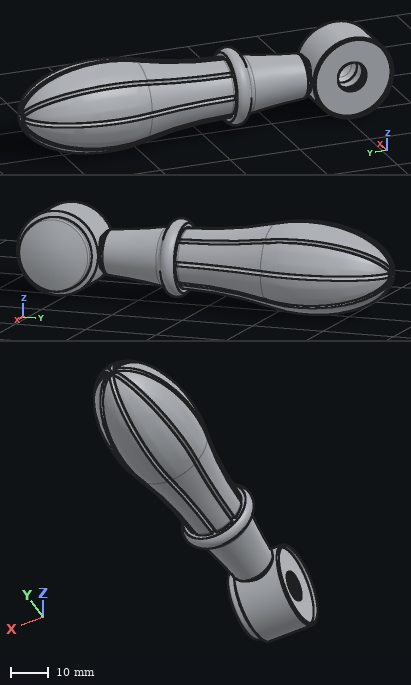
import cadquery as cq
import math


grip_tip_y = 93.0
grip_base_y = 34.3
belly_y = 69.6
belly_radius = 12.5
tip_length = grip_tip_y - belly_y
seam_y = 59.6
waist_y = 47.0
waist_radius = 9.1
band_y = grip_base_y + 0.6
band_radius = 8.3

groove_count = 8
groove_width = 1.1
groove_depth = 0.8

collar_face_radius = 9.4
collar_radius = 10.6
collar_middle_y = 32.4
collar_end_radius = 9.2
collar_end_y = 30.2
fillet_middle_radius = 8.4
fillet_middle_y = 29.6
taper_start_radius = 8.0
taper_start_y = 28.6
taper_middle_radius = 6.8
taper_middle_y = 19.9
taper_end_radius = 6.2
taper_end_y = 12.7
cone_radius = 5.9
cone_y = 12.0
cone_length = 3.1

hub_radius = 11.5
hub_left_x = -7.1
hub_right_x = 6.9
hub_left_chamfer = 0.4
hub_right_bevel = 0.7
recess_radius = 11.0
recess_depth = 1.1

bore_radius = 4.1
bore_depth = 6.8
thread_pitch = 0.8
thread_turns = 4
thread_depth = 0.4
drill_radius = 2.9
drill_point_angle = 118.0

cap_radius = 10.0
cap_apex_x = 11.0
dome_radius = 25.1
cap_fillet = 0.6


def revolve_about_x(profile):
    return profile.close().revolve(360, (0, 0, 0), (1, 0, 0))


def revolve_about_y(profile):
    return profile.close().revolve(360, (0, 0, 0), (0, 1, 0))


def add_grip_outline(start):
    """Continue a sketch from the grip's base edge along its side to the tip on the Y axis."""
    seam_angle = math.asin((seam_y - belly_y) / tip_length)
    seam_radius = belly_radius * math.cos(seam_angle)
    seam_tangent = (-belly_radius * math.sin(seam_angle), tip_length * math.cos(seam_angle))
    return (
        start.lineTo(band_radius, band_y)
        .spline(
            [(waist_radius, waist_y), (seam_radius, seam_y)],
            tangents=[(0, 1), seam_tangent],
            includeCurrent=True,
        )
        .ellipseArc(belly_radius, tip_length, math.degrees(seam_angle), 90, sense=1)
    )


def make_groove_cutter():
    """Elliptical rod that follows the grip's side, centred on its surface."""
    path = add_grip_outline(cq.Workplane("XY").moveTo(band_radius, grip_base_y))
    section = cq.Workplane("XZ", origin=(band_radius, grip_base_y, 0)).ellipse(groove_depth, groove_width / 2)
    return section.sweep(path)


def make_grip():
    base_edge = cq.Workplane("XY").moveTo(0, grip_base_y).lineTo(band_radius, grip_base_y)
    grip = revolve_about_y(add_grip_outline(base_edge))
    cutter = make_groove_cutter()
    for i in range(groove_count):
        grip = grip.cut(cutter.rotate((0, 0, 0), (0, 1, 0), i * 360 / groove_count))
    return grip


def make_neck():
    cone_tip_y = cone_y - cone_length
    profile = (
        cq.Workplane("XY")
        .moveTo(0, grip_base_y)
        .lineTo(collar_face_radius, grip_base_y)
        .threePointArc((collar_radius, collar_middle_y), (collar_end_radius, collar_end_y))
        .threePointArc((fillet_middle_radius, fillet_middle_y), (taper_start_radius, taper_start_y))
        .threePointArc((taper_middle_radius, taper_middle_y), (taper_end_radius, taper_end_y))
        .lineTo(cone_radius, cone_y)
        .lineTo(cone_radius - cone_length, cone_tip_y)
        .lineTo(0, cone_tip_y)
    )
    hub_side = cq.Workplane("YZ", origin=(hub_left_x, 0, 0)).circle(hub_radius).extrude(hub_right_x - hub_left_x)
    return revolve_about_y(profile).cut(hub_side)


def make_threaded_hole(mouth_x):
    """Shape of the blind hole, entered at mouth_x and running towards +X."""
    profile = cq.Workplane("XY").moveTo(mouth_x, 0).lineTo(mouth_x, bore_radius)
    for turn in range(thread_turns):
        root_x = mouth_x + (turn + 0.5) * thread_pitch
        profile = (
            profile.lineTo(root_x - thread_pitch / 4, bore_radius)
            .lineTo(root_x, bore_radius + thread_depth)
            .lineTo(root_x + thread_pitch / 4, bore_radius)
        )
    bore_end_x = mouth_x + bore_depth
    drill_x = bore_end_x + bore_radius - drill_radius
    drill_point_length = drill_radius / math.tan(math.radians(drill_point_angle / 2))
    profile = (
        profile.lineTo(bore_end_x, bore_radius)
        .lineTo(drill_x, drill_radius)
        .lineTo(drill_x + drill_point_length, 0)
    )
    return revolve_about_x(profile)


def make_hub():
    blank = revolve_about_x(
        cq.Workplane("XY")
        .moveTo(hub_left_x, 0)
        .lineTo(hub_left_x, hub_radius - hub_left_chamfer)
        .lineTo(hub_left_x + hub_left_chamfer, hub_radius)
        .lineTo(hub_right_x - hub_right_bevel, hub_radius)
        .lineTo(hub_right_x, cap_radius)
        .lineTo(hub_right_x, 0)
    )
    recess = cq.Workplane("YZ", origin=(hub_left_x, 0, 0)).circle(recess_radius).extrude(recess_depth)
    return blank.cut(recess).cut(make_threaded_hole(hub_left_x + recess_depth))


def make_cap():
    """Disc with a spherical dome and a rounded rim."""
    dome_centre_x = cap_apex_x - dome_radius
    rim_centre_radius = cap_radius - cap_fillet
    rim_centre_x = dome_centre_x + math.sqrt((dome_radius - cap_fillet) ** 2 - rim_centre_radius**2)
    rim_angle = math.atan2(rim_centre_radius, rim_centre_x - dome_centre_x)

    def dome_point(angle):
        return (dome_centre_x + dome_radius * math.cos(angle), dome_radius * math.sin(angle))

    profile = (
        cq.Workplane("XY")
        .moveTo(hub_right_x, 0)
        .lineTo(hub_right_x, cap_radius)
        .lineTo(rim_centre_x, cap_radius)
        .tangentArcPoint(dome_point(rim_angle), relative=False)
        .threePointArc(dome_point(rim_angle / 2), dome_point(0))
    )
    return revolve_about_x(profile)


grip = make_grip()
neck = make_neck()
hub = make_hub()
cap = make_cap()

bodies = [grip, neck, hub, cap]
result = cq.Compound.makeCompound([body.solids().val() for body in bodies])